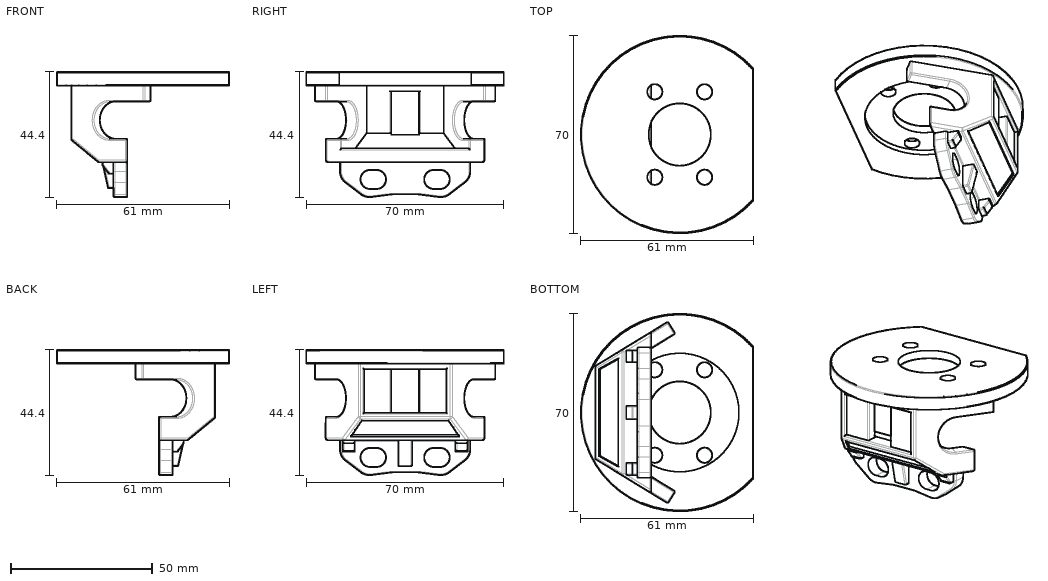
import cadquery as cq
import math

WALL = 5.0
EDGE = 0.5

PLATE_RADIUS = 35.0
PLATE_FLAT_X = 26.0
PLATE_EDGE = 0.35
POCKET_RADIUS = 21.0
PLATE_THIN = 3.0
BORE_DIAMETER = 22.0
SCREW_DIAMETER = 5.3
SCREW_X = 8.8
SCREW_Y = 15.1

FRONT_X = -29.95
FRONT_HALF_WIDTH = 16.4
ARM_ANGLE = 31.4
ARM_LENGTH = 30.2
SLOPE_TOP_Z = -24.0
SLOPE_BOTTOM_X = -20.15
BRACKET_BOTTOM_Z = -32.05
REAR_X = -10.0
BODY_RADIUS = 1.0

NOTCH_TOP_Z = -10.5
NOTCH_BOTTOM_Z = -23.65
NOTCH_START = 9.2

WINDOW_HALF_WIDTH = 14.5
WINDOW_TOP_Z = -6.9
WINDOW_BOTTOM_Z = -22.2
WINDOW_DEPTH = 0.9
WINDOW_SLOT_HALF_WIDTH = 4.9

PANEL_DEPTH = 0.8
PANEL_TOP_Z = -25.1
PANEL_BOTTOM_Z = -30.7
PANEL_TOP_HALF_WIDTH = 15.4
PANEL_BOTTOM_HALF_WIDTH = 19.2

LUG_HALF_WIDTH = 23.1
LUG_SHOULDER_Z = -37.65
LUG_FOOT_Y = 14.0
LUG_FOOT_Z = -44.6
LUG_WAIST_Y = 4.6
LUG_WAIST_Z = -43.4
LUG_CORNER_RADIUS = WALL
LUG_ROOT_RADIUS = 0.35
LUG_SLOT_Y = 11.3
LUG_SLOT_Z = -38.1
LUG_SLOT_LENGTH = 8.95
LUG_SLOT_WIDTH = 6.65

RIB_TOP_X = -18.9
RIB_TIP_X = -16.9
RIB_EDGE = 0.4
CENTER_RIB_HALF_WIDTH = 2.45
CENTER_RIB_BOTTOM_Z = -41.15
SIDE_RIB_INNER_Y = 17.8
SIDE_RIB_OUTER_Y = 22.1
SIDE_RIB_KNEE_Z = -32.95
SIDE_RIB_TIP_Z = -35.6
SIDE_RIB_BOTTOM_Z = -36.1

PLATE_BOTTOM_Z = -WALL
ARM_COS = math.cos(math.radians(ARM_ANGLE))
ARM_SIN = math.sin(math.radians(ARM_ANGLE))
INNER_X = FRONT_X + WALL
FLOOR_Z = BRACKET_BOTTOM_Z + WALL
LUG_FRONT_X = REAR_X - WALL
SLOPE_ANGLE = math.atan2(SLOPE_TOP_Z - BRACKET_BOTTOM_Z, SLOPE_BOTTOM_X - FRONT_X)
BEYOND = 139.95
CUT_DEPTH = WALL + 2 * EDGE


def mirror_both(shape):
    """Join a feature on the +Y side with its mirror image on the -Y side."""
    return shape.union(shape.mirror("XZ"))


def symmetric_outline(half):
    """Complete a half outline on the +Y side, y listed second, with its mirror image."""
    return half + [(x, -y) for x, y in reversed(half)]


def profile_prism(points):
    """Extrude an X-Z outline symmetrically across Y."""
    return cq.Workplane("XZ").polyline(points).close().extrude(BEYOND / 2, both=True)


def make_plate():
    plate = cq.Workplane("XY").circle(PLATE_RADIUS).extrude(-WALL)
    beyond_flat = cq.Workplane("XY").box(BEYOND, BEYOND, BEYOND).translate((PLATE_FLAT_X + BEYOND / 2, 0, 0))
    plate = plate.cut(beyond_flat).faces("<Z or >Z").edges().fillet(PLATE_EDGE)
    screws = [(x, y) for x in (-SCREW_X, SCREW_X) for y in (-SCREW_Y, SCREW_Y)]
    bores = cq.Workplane("XY").circle(BORE_DIAMETER / 2).extrude(-WALL)
    bores = bores.union(cq.Workplane("XY").pushPoints(screws).circle(SCREW_DIAMETER / 2).extrude(-WALL))
    underside = cq.Workplane("XY", origin=(0, 0, PLATE_BOTTOM_Z))
    pocket = underside.circle(POCKET_RADIUS).extrude(WALL - PLATE_THIN)
    return plate.cut(bores).cut(pocket)


def make_outer_block():
    """Flared block with a sloped lower front and perpendicular arm ends."""
    end_x = FRONT_X + ARM_LENGTH * ARM_COS
    end_y = FRONT_HALF_WIDTH + ARM_LENGTH * ARM_SIN
    half_plan = [
        (FRONT_X, FRONT_HALF_WIDTH),
        (end_x, end_y),
        (end_x + WALL * ARM_SIN, end_y - WALL * ARM_COS),
    ]
    plan = cq.Workplane("XY").workplane(offset=PLATE_BOTTOM_Z)
    block = plan.polyline(symmetric_outline(half_plan)).close().extrude(BRACKET_BOTTOM_Z - PLATE_BOTTOM_Z)
    return block.intersect(profile_prism([
        (FRONT_X, PLATE_BOTTOM_Z),
        (FRONT_X, SLOPE_TOP_Z),
        (SLOPE_BOTTOM_X, BRACKET_BOTTOM_Z),
        (BEYOND, BRACKET_BOTTOM_Z),
        (BEYOND, PLATE_BOTTOM_Z),
    ]))


def make_cavity():
    """Inside of the shell, one wall thickness in from the front, slope, bottom and arms."""
    slope_start_z = SLOPE_TOP_Z + WALL * math.tan((math.pi / 2 - SLOPE_ANGLE) / 2)
    slope_end_x = SLOPE_BOTTOM_X + WALL * math.tan(SLOPE_ANGLE / 2)
    profile = profile_prism([
        (INNER_X, PLATE_BOTTOM_Z),
        (INNER_X, slope_start_z),
        (slope_end_x, FLOOR_Z),
        (BEYOND, FLOOR_Z),
        (BEYOND, PLATE_BOTTOM_Z),
    ])

    def inner_y(x):
        return FRONT_HALF_WIDTH + (x - FRONT_X) * ARM_SIN / ARM_COS - WALL / ARM_COS

    half_plan = [(INNER_X, inner_y(INNER_X)), (BEYOND / 2, inner_y(BEYOND / 2))]
    plan = cq.Workplane("XY").polyline(symmetric_outline(half_plan)).close().extrude(-BEYOND)
    return profile.intersect(plan)


def make_notches():
    """Round-ended notch through each arm, square to the arm and open at the rear."""
    radius = (NOTCH_TOP_Z - NOTCH_BOTTOM_Z) / 2
    center_z = (NOTCH_TOP_Z + NOTCH_BOTTOM_Z) / 2
    arm_plane = cq.Plane(
        origin=(FRONT_X, FRONT_HALF_WIDTH, center_z),
        xDir=(ARM_COS, ARM_SIN, 0),
        normal=(-ARM_SIN, ARM_COS, 0),
    )
    center = NOTCH_START + radius
    notch = (
        cq.Workplane(arm_plane)
        .moveTo(BEYOND / 2, radius)
        .lineTo(center, radius)
        .threePointArc((NOTCH_START, 0), (center, -radius))
        .lineTo(BEYOND / 2, -radius)
        .close()
        .extrude(CUT_DEPTH, both=True)
    )
    return mirror_both(notch)


def cut_window(shell):
    """Cut a round-edged recess in the front face and a slot through its middle."""
    height = WINDOW_TOP_Z - WINDOW_BOTTOM_Z
    center_z = (WINDOW_TOP_Z + WINDOW_BOTTOM_Z) / 2
    front = cq.Workplane("YZ", origin=(FRONT_X, 0, center_z))
    shell = shell.cut(front.rect(2 * WINDOW_HALF_WIDTH, height).extrude(WINDOW_DEPTH))
    shell = shell.cut(front.rect(2 * WINDOW_SLOT_HALF_WIDTH, height).extrude(CUT_DEPTH))
    rim = shell.edges(cq.selectors.BoxSelector(
        (FRONT_X - EDGE / 2, -WINDOW_HALF_WIDTH - EDGE / 2, WINDOW_BOTTOM_Z - EDGE / 2),
        (FRONT_X + EDGE / 2, WINDOW_HALF_WIDTH + EDGE / 2, WINDOW_TOP_Z + EDGE / 2),
    ))
    shell = rim.fillet(EDGE)
    slot_corners = shell.edges("|Z").edges(cq.selectors.BoxSelector(
        (FRONT_X + WINDOW_DEPTH - EDGE / 2, -WINDOW_SLOT_HALF_WIDTH - EDGE / 2, WINDOW_BOTTOM_Z),
        (INNER_X + EDGE / 2, WINDOW_SLOT_HALF_WIDTH + EDGE / 2, WINDOW_TOP_Z),
    ))
    return slot_corners.fillet(EDGE)


def make_panel():
    """Trapezoidal recess square to the sloped face."""
    slope_plane = cq.Plane(
        origin=(FRONT_X, 0, SLOPE_TOP_Z),
        xDir=(math.cos(SLOPE_ANGLE), 0, -math.sin(SLOPE_ANGLE)),
        normal=(math.sin(SLOPE_ANGLE), 0, math.cos(SLOPE_ANGLE)),
    )
    top = (SLOPE_TOP_Z - PANEL_TOP_Z) / math.sin(SLOPE_ANGLE)
    bottom = (SLOPE_TOP_Z - PANEL_BOTTOM_Z) / math.sin(SLOPE_ANGLE)
    outline = symmetric_outline([(top, PANEL_TOP_HALF_WIDTH), (bottom, PANEL_BOTTOM_HALF_WIDTH)])
    return cq.Workplane(slope_plane).polyline(outline).close().extrude(PANEL_DEPTH)


def round_arms(shell):
    """Round the notch rims, the arm ends and the rear edges, inside and outside."""
    notch_start_x = FRONT_X + (NOTCH_START - EDGE) * ARM_COS
    rear_x = REAR_X - EDGE / 2
    upper_box = cq.selectors.BoxSelector(
        (notch_start_x, -BEYOND, NOTCH_BOTTOM_Z - EDGE / 2), (BEYOND, BEYOND, PLATE_BOTTOM_Z - EDGE)
    )
    lower_rear_box = cq.selectors.BoxSelector(
        (rear_x, -BEYOND, BRACKET_BOTTOM_Z + BODY_RADIUS), (BEYOND, BEYOND, NOTCH_BOTTOM_Z)
    )
    seam_box = cq.selectors.BoxSelector((notch_start_x, -BEYOND, -BEYOND), (rear_x, BEYOND, BEYOND))
    for side in (-1, 1):
        across = cq.selectors.ParallelDirSelector(cq.Vector(-ARM_SIN, side * ARM_COS, 0))
        upper_box = upper_box - (across & seam_box)
    return shell.edges(upper_box + lower_rear_box).fillet(EDGE)


def make_bracket():
    block = make_outer_block()
    front_and_bottom = block.edges(cq.selectors.BoxSelector(
        (-BEYOND, -BEYOND, BRACKET_BOTTOM_Z - EDGE), (REAR_X - EDGE, BEYOND, PLATE_BOTTOM_Z - EDGE)
    ))
    block = front_and_bottom.fillet(BODY_RADIUS)
    lower_depth = NOTCH_TOP_Z - BRACKET_BOTTOM_Z
    behind_rear = cq.Workplane("XY").box(BEYOND, BEYOND, lower_depth, centered=(False, True, False))
    block = block.cut(behind_rear.translate((REAR_X, 0, BRACKET_BOTTOM_Z)))
    shell = block.cut(make_cavity()).cut(make_notches())
    return cut_window(round_arms(shell)).cut(make_panel())


def make_lug():
    half = [
        (LUG_HALF_WIDTH, BRACKET_BOTTOM_Z),
        (LUG_HALF_WIDTH, LUG_SHOULDER_Z),
        (LUG_FOOT_Y, LUG_FOOT_Z),
        (LUG_WAIST_Y, LUG_WAIST_Z),
    ]
    outline = half + [(-y, z) for y, z in reversed(half)]
    lug = cq.Workplane("YZ", origin=(LUG_FRONT_X, 0, 0)).polyline(outline).close().extrude(WALL)
    corners = lug.edges("|X").filter(
        lambda edge: abs(edge.Center().y) > LUG_WAIST_Y + EDGE and edge.Center().z < BRACKET_BOTTOM_Z - EDGE
    )
    lug = corners.fillet(LUG_CORNER_RADIUS)
    lug = lug.faces("<X or >X").edges().filter(
        lambda edge: edge.Center().z < BRACKET_BOTTOM_Z - EDGE
    ).fillet(EDGE)
    slots = (
        cq.Workplane("YZ", origin=(LUG_FRONT_X, 0, 0))
        .pushPoints([(-LUG_SLOT_Y, LUG_SLOT_Z), (LUG_SLOT_Y, LUG_SLOT_Z)])
        .slot2D(LUG_SLOT_LENGTH, LUG_SLOT_WIDTH)
        .extrude(WALL)
    )
    return lug.cut(slots)


def make_lug_root():
    """Concave rounding between the bracket bottom and the lug front, from side rib to side rib."""
    reach = LUG_ROOT_RADIUS * (1 - math.sqrt(0.5))
    return (
        cq.Workplane("XZ")
        .moveTo(LUG_FRONT_X, BRACKET_BOTTOM_Z)
        .lineTo(LUG_FRONT_X - LUG_ROOT_RADIUS, BRACKET_BOTTOM_Z)
        .threePointArc(
            (LUG_FRONT_X - reach, BRACKET_BOTTOM_Z - reach),
            (LUG_FRONT_X, BRACKET_BOTTOM_Z - LUG_ROOT_RADIUS),
        )
        .close()
        .extrude(SIDE_RIB_INNER_Y, both=True)
    )


def make_rib(y_start, y_end, front_outline):
    """Stiffener under the bracket, reaching back into the lug from its front outline."""
    inside_x = LUG_FRONT_X + EDGE
    bottom_z = front_outline[-1][1]
    outline = front_outline + [(inside_x, bottom_z), (inside_x, BRACKET_BOTTOM_Z)]
    rib = cq.Workplane("XZ", origin=(0, y_end, 0)).polyline(outline).close().extrude(y_end - y_start)
    front_edges = rib.edges(cq.selectors.BoxSelector(
        (-BEYOND, -BEYOND, bottom_z - EDGE), (RIB_TIP_X + EDGE, BEYOND, BRACKET_BOTTOM_Z - EDGE / 4)
    ))
    rib = front_edges.edges("not |Y").fillet(RIB_EDGE)
    front_bottom_edge = rib.edges("|Y").edges("<Z").edges("<X")
    return front_bottom_edge.fillet(RIB_EDGE)


center_rib = make_rib(-CENTER_RIB_HALF_WIDTH, CENTER_RIB_HALF_WIDTH, [
    (RIB_TOP_X, BRACKET_BOTTOM_Z),
    (RIB_TIP_X, CENTER_RIB_BOTTOM_Z),
])
side_rib = make_rib(SIDE_RIB_INNER_Y, SIDE_RIB_OUTER_Y, [
    (RIB_TOP_X, BRACKET_BOTTOM_Z),
    (RIB_TOP_X, SIDE_RIB_KNEE_Z),
    (RIB_TIP_X, SIDE_RIB_TIP_Z),
    (RIB_TIP_X, SIDE_RIB_BOTTOM_Z),
])

result = make_plate().union(make_bracket()).union(make_lug()).union(make_lug_root())
result = result.union(center_rib).union(mirror_both(side_rib))